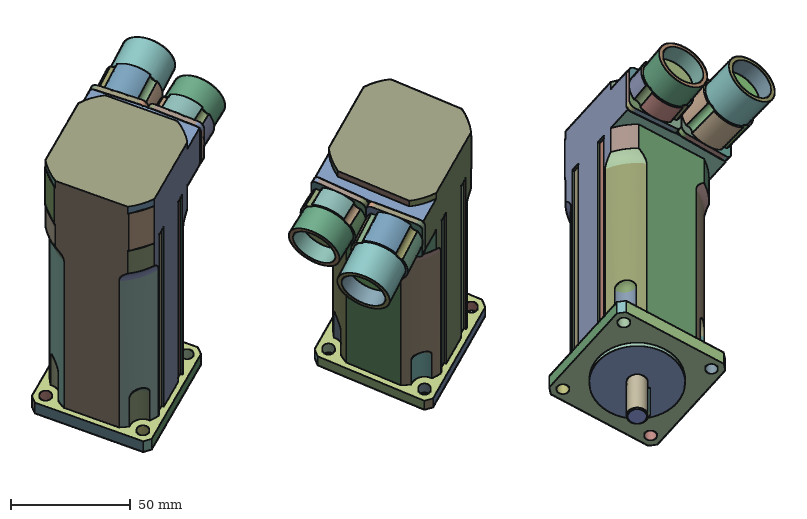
import cadquery as cq
import math


flange_side = 55.0
flange_thick = 7.3
flange_chamfer = 2.7
bolt_hole_diameter = 5.4
bolt_circle_diameter = 63.0
bolt_offset = bolt_circle_diameter / 2 / math.sqrt(2)
pilot_diameter = 40.0
pilot_height = 2.2
shaft_diameter = 9.0
shaft_length = 24.0
shaft_chamfer = 0.5

key_width = 3.0
key_length = 18.4
key_top_reach = 5.7
key_end_gap = 3.0
key_sunk_reach = shaft_diameter / 4

overall_height = 182.0
body_side = 50.0
top_z = overall_height - shaft_length
lower_corner_diameter = 56.0
upper_corner_diameter = 60.0
lower_section_top_z = top_z - 52.1
upper_section_bottom_z = top_z - 45.0

access_diameter = 12.0
access_height = 19.0

slot_width = 4.3
slot_depth = 1.0
slot_offset = 9.4

block_height = 25.1
block_top_gap = 4.55
block_top_z = top_z - block_top_gap
block_bottom_z = block_top_z - block_height
block_chamfer = 8.0
block_front_y = 29.8

connector_tilt = 2.0
connector_offset = 12.92
connector_z = (block_top_z + block_bottom_z) / 2
plate_side = 25.7
plate_thick = 2.6
plate_corner_radius = 3.0
base_diameter = 26.0
cap_diameter = 24.0
bore_diameter = 20.0
bore_depth = 8.0
flute_radius = 2.4
flute_offset = 9.9
left_base_length = 15.3
left_cap_length = 16.3
right_base_length = 9.2
right_cap_length = 12.3


def column(side, bottom_z, height):
    """A square column centred on the motor axis."""
    return cq.Workplane("XY").workplane(offset=bottom_z).rect(side, side).extrude(height)


def make_flange():
    """Square flange with chamfered corners and four bolt holes."""
    return (
        column(flange_side, 0, flange_thick)
        .edges("|Z")
        .chamfer(flange_chamfer)
        .faces(">Z")
        .workplane()
        .rect(2 * bolt_offset, 2 * bolt_offset, forConstruction=True)
        .vertices()
        .hole(bolt_hole_diameter)
    )


def make_shaft():
    """Pilot disc and shaft with a chamfered end."""
    pilot = cq.Workplane("XY").circle(pilot_diameter / 2).extrude(-pilot_height)
    shaft = (
        cq.Workplane("XY")
        .circle(shaft_diameter / 2)
        .extrude(-shaft_length)
        .faces("<Z")
        .chamfer(shaft_chamfer)
    )
    return pilot.union(shaft)


def make_key():
    """Round-ended key standing out of the shaft towards -X."""
    key_middle_z = -shaft_length + key_end_gap + key_length / 2
    return (
        cq.Workplane("YZ")
        .workplane(offset=-key_top_reach)
        .center(0, key_middle_z)
        .slot2D(key_length, key_width, 90)
        .extrude(key_top_reach - key_sunk_reach)
    )


def make_turned_envelope():
    """Turned shape that rounds the body corners, flaring from the lower to the upper size."""
    lower_radius = lower_corner_diameter / 2
    upper_radius = upper_corner_diameter / 2
    flare_height = upper_section_bottom_z - lower_section_top_z
    flare_growth = upper_radius - lower_radius
    flare_radius = (flare_height**2 + flare_growth**2) / (2 * flare_growth)
    half_rise = flare_height / 2
    half_growth = flare_radius - math.sqrt(flare_radius**2 - half_rise**2)
    return (
        cq.Workplane("XZ")
        .moveTo(0, flange_thick)
        .lineTo(lower_radius, flange_thick)
        .lineTo(lower_radius, lower_section_top_z)
        .threePointArc(
            (lower_radius + half_growth, lower_section_top_z + half_rise),
            (upper_radius, upper_section_bottom_z),
        )
        .lineTo(upper_radius, top_z)
        .lineTo(0, top_z)
        .close()
        .revolve(360, (0, 0, 0), (0, 1, 0))
    )


def make_access_groove(x, y):
    """Cutter for one bolt access groove: a cylinder capped by a ball."""
    radius = access_diameter / 2
    start = cq.Workplane("XY").workplane(offset=flange_thick)
    cylinder = start.center(x, y).circle(radius).extrude(access_height)
    ball = cq.Workplane("XY").sphere(radius).translate((x, y, flange_thick + access_height))
    return cylinder.union(ball)


def make_slot(x_sign, y):
    """Cutter for one slot in a side face, running from the flange to the connector block."""
    slot_height = block_bottom_z - flange_thick
    return (
        cq.Workplane("XY")
        .workplane(offset=flange_thick)
        .center(x_sign * body_side / 2, y)
        .rect(2 * slot_depth, slot_width)
        .extrude(slot_height)
    )


def make_block():
    """Connector block: chamfered at -Y, with two faces at +Y that lean with the connectors."""
    half = body_side / 2
    side_y = block_front_y - half * math.tan(math.radians(connector_tilt))
    return (
        cq.Workplane("XY")
        .workplane(offset=block_bottom_z)
        .moveTo(0, block_front_y)
        .lineTo(-half, side_y)
        .lineTo(-half, -half + block_chamfer)
        .lineTo(-half + block_chamfer, -half)
        .lineTo(half - block_chamfer, -half)
        .lineTo(half, -half + block_chamfer)
        .lineTo(half, side_y)
        .close()
        .extrude(block_height)
    )


def make_motor():
    """Motor with flange, shaft, key and connector block in one solid."""
    body = column(body_side, flange_thick, top_z - flange_thick).intersect(make_turned_envelope())
    body = body.cut(column(flange_side, block_bottom_z, block_height))
    body = body.union(make_block())
    for x_sign in (-1, 1):
        for y_sign in (-1, 1):
            body = body.cut(make_access_groove(x_sign * bolt_offset, y_sign * bolt_offset))
            body = body.cut(make_slot(x_sign, y_sign * slot_offset))
    return body.union(make_flange()).union(make_shaft()).union(make_key())


def make_connector(x_sign, base_length, cap_length):
    """Connector on the -X or +X half of the block: square plate, fluted base and hollow cap."""
    centre_x = x_sign * connector_offset
    plate = (
        cq.Workplane("XY")
        .center(centre_x, 0)
        .rect(plate_side, plate_side)
        .extrude(plate_thick)
        .edges("|Z")
        .fillet(plate_corner_radius)
    )
    base = cq.Workplane("XY").workplane(offset=plate_thick).center(centre_x, 0)
    flutes = base.rect(2 * flute_offset, 2 * flute_offset, forConstruction=True).vertices()
    base = base.circle(base_diameter / 2).extrude(base_length)
    base = base.cut(flutes.circle(flute_radius).extrude(base_length))
    cap = (
        base.faces(">Z")
        .workplane(origin=(centre_x, 0, 0))
        .circle(cap_diameter / 2)
        .extrude(cap_length, combine=False)
        .faces(">Z")
        .workplane()
        .hole(bore_diameter, bore_depth)
    )
    return (
        plate.union(base)
        .union(cap)
        .rotate((0, 0, 0), (1, 0, 0), -90)
        .rotate((0, 0, 0), (0, 0, 1), -x_sign * connector_tilt)
        .translate((0, block_front_y, connector_z))
    )


motor = make_motor()
left_connector = make_connector(-1, left_base_length, left_cap_length)
right_connector = make_connector(1, right_base_length, right_cap_length)

result = cq.Compound.makeCompound([motor.val(), left_connector.val(), right_connector.val()])